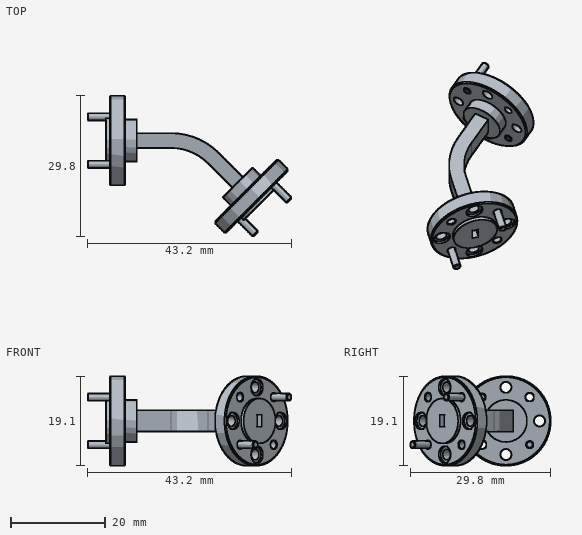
import cadquery as cq
import math

FLANGE_DIAMETER = 19.05
FLANGE_THICKNESS = 3.32
FLANGE_CHAMFER = 0.25
BOSS_DIAMETER = 9.55
BOSS_HEIGHT = 0.78
HUB_DIAMETER = 8.95
HUB_LENGTH = 2.45

BOLT_CIRCLE_RADIUS = 7.1
SCREW_HOLE_DIAMETER = 2.3
COUNTERBORE_DIAMETER = 3.6
COUNTERBORE_DEPTH = 0.55
DOWEL_HOLE_DIAMETER = 1.73
DOWEL_ENTRY_CHAMFER = 0.15
SCREW_ANGLES = [0, 90, 180, 270]
DOWEL_ANGLES = [135, 315]
PIN_ANGLES = [45, 225]

PIN_DIAMETER = 1.6
PIN_PROJECTION = 4.65
PIN_LENGTH = FLANGE_THICKNESS + PIN_PROJECTION
PIN_CHAMFER = 0.17

TUBE_WIDTH = 3.2
TUBE_HEIGHT = 4.55
BEND_RADIUS = 12.7
BEND_ANGLE = 45.0
BEND_START = 13.0
BEND_TO_FLANGE = 13.07

APERTURE_WIDTH = 1.35
APERTURE_HEIGHT = 2.55
APERTURE_DEPTH = BOSS_HEIGHT + FLANGE_THICKNESS

bend_rad = math.radians(BEND_ANGLE)
bend_end_x = BEND_START + BEND_RADIUS * math.sin(bend_rad)
bend_end_y = -BEND_RADIUS * (1 - math.cos(bend_rad))
end_x = bend_end_x + BEND_TO_FLANGE * math.cos(bend_rad)
end_y = bend_end_y - BEND_TO_FLANGE * math.sin(bend_rad)


def face_plane(depth):
    """Plane parallel to the first flange face, at a depth behind it, with its normal along -X."""
    return cq.Plane(origin=(depth, 0, 0), xDir=(0, -1, 0), normal=(-1, 0, 0))


def bolt_circle_point(angle):
    """Place on the bolt circle, counterclockwise from the right as seen facing the flange."""
    a = math.radians(angle)
    return BOLT_CIRCLE_RADIUS * math.cos(a), BOLT_CIRCLE_RADIUS * math.sin(a)


def bolt_circle_holes(angles, diameter, depth):
    """Cylinders that cut holes of one size from the flange face backwards."""
    points = [bolt_circle_point(angle) for angle in angles]
    return cq.Workplane(face_plane(0)).pushPoints(points).circle(diameter / 2).extrude(-depth)


def dowel_holes(angles, diameter):
    """Cutters for dowel holes through the disc, each with a chamfered mouth at the flange face."""
    holes = bolt_circle_holes(angles, diameter, FLANGE_THICKNESS)
    mouth_radius = diameter / 2 + DOWEL_ENTRY_CHAMFER
    for angle in angles:
        mouth_center = face_plane(0).toWorldCoords(bolt_circle_point(angle))
        mouth = cq.Solid.makeCone(
            mouth_radius, diameter / 2, DOWEL_ENTRY_CHAMFER, mouth_center, cq.Vector(1, 0, 0)
        )
        holes = holes.union(cq.Workplane(mouth))
    return holes


def make_flange():
    """Flange at the origin: chamfered disc, boss, hub and bolt circle holes."""
    disc = cq.Workplane(face_plane(0)).circle(FLANGE_DIAMETER / 2).extrude(-FLANGE_THICKNESS)
    disc = disc.edges().chamfer(FLANGE_CHAMFER)
    boss = cq.Workplane(face_plane(0)).circle(BOSS_DIAMETER / 2).extrude(BOSS_HEIGHT)
    hub = cq.Workplane(face_plane(FLANGE_THICKNESS)).circle(HUB_DIAMETER / 2).extrude(-HUB_LENGTH)
    disc = disc.cut(bolt_circle_holes(SCREW_ANGLES, SCREW_HOLE_DIAMETER, FLANGE_THICKNESS))
    disc = disc.cut(bolt_circle_holes(SCREW_ANGLES, COUNTERBORE_DIAMETER, COUNTERBORE_DEPTH))
    disc = disc.cut(dowel_holes(DOWEL_ANGLES, DOWEL_HOLE_DIAMETER))
    disc = disc.cut(dowel_holes(PIN_ANGLES, PIN_DIAMETER))
    return disc.union(boss).union(hub)


def make_aperture():
    """Block that cuts the blind rectangular aperture through the boss and disc."""
    mouth = cq.Workplane(face_plane(-BOSS_HEIGHT)).rect(APERTURE_WIDTH, APERTURE_HEIGHT)
    return mouth.extrude(-APERTURE_DEPTH)


def make_tube():
    """Straight run, bend and second straight run, ending at the back of each disc."""
    half_bend = bend_rad / 2
    bend_mid = (
        BEND_START + BEND_RADIUS * math.sin(half_bend),
        -BEND_RADIUS * (1 - math.cos(half_bend)),
    )
    tube_end = (
        end_x - FLANGE_THICKNESS * math.cos(bend_rad),
        end_y + FLANGE_THICKNESS * math.sin(bend_rad),
    )
    path = (
        cq.Workplane("XY")
        .moveTo(FLANGE_THICKNESS, 0)
        .lineTo(BEND_START, 0)
        .threePointArc(bend_mid, (bend_end_x, bend_end_y))
        .lineTo(*tube_end)
    )
    return cq.Workplane(face_plane(FLANGE_THICKNESS)).rect(TUBE_WIDTH, TUBE_HEIGHT).sweep(path)


def make_pin(angle):
    """Alignment pin, flush with the back of the disc and chamfered at both ends."""
    pin = (
        cq.Workplane(face_plane(FLANGE_THICKNESS))
        .center(*bolt_circle_point(angle))
        .circle(PIN_DIAMETER / 2)
        .extrude(PIN_LENGTH)
    )
    return pin.faces("<X or >X").chamfer(PIN_CHAMFER)


def to_far_end(body):
    """Move a body from the first flange to the same place on the second flange."""
    return body.rotate((0, 0, 0), (0, 0, 1), 180 - BEND_ANGLE).translate((end_x, end_y, 0))


flange = make_flange()
aperture = make_aperture()
waveguide = make_tube().union(flange).union(to_far_end(flange))
waveguide = waveguide.cut(aperture).cut(to_far_end(aperture))

near_pins = [make_pin(angle) for angle in PIN_ANGLES]
far_pins = [to_far_end(pin) for pin in near_pins]

result = cq.Compound.makeCompound([waveguide.val(), *[pin.val() for pin in near_pins + far_pins]])